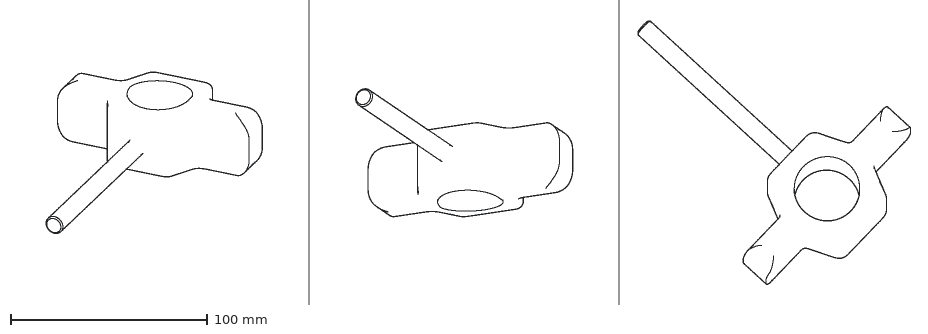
import cadquery as cq
import math

total_depth = 155.5
body_depth = 54.0
span = 108.0
height = 36.0
arm_width = 16.0
bore_diameter = 33.5
hub_corner_x = 17.3
arm_root_x = 25.8
hub_corner_radius = 6.0
arm_root_radius = 3.1
roof_angle = 5.0
wall_half_height = 12.9
arm_end_radius = 12.6
rod_diameter = 9.5
rod_tip_chamfer = 0.8
rod_root_fillet = 1.1
rod_embed = 1.5
tolerance = 0.02

half_depth = body_depth / 2
half_span = span / 2
half_height = height / 2
half_arm = arm_width / 2
roof_slope = math.tan(math.radians(roof_angle))
rod_tip_y = half_depth - total_depth


def roof_height(y):
    """Height of the sloping top face at distance y from the ridge."""
    return half_height - abs(y) * roof_slope


def rounding_radius(y):
    """Edge radius that meets the side wall at wall_half_height."""
    half_turn = math.radians((90 - roof_angle) / 2)
    return (roof_height(y) - wall_half_height) / math.tan(half_turn)


def plan_prism():
    """Hexagonal hub with two arms, with its upright corners rounded."""
    quarter = [
        (half_span, half_arm),
        (arm_root_x, half_arm),
        (hub_corner_x, half_depth),
    ]
    upper = quarter + [(-x, y) for x, y in reversed(quarter)]
    lower = [(x, -y) for x, y in reversed(upper)]
    prism = cq.Workplane("XY").polyline(upper + lower).close().extrude(half_height, both=True)
    for corner_x, corner_y, radius in (
        (hub_corner_x, half_depth, hub_corner_radius),
        (arm_root_x, half_arm, arm_root_radius),
    ):
        for side_x in (-1, 1):
            for side_y in (-1, 1):
                corner = (side_x * corner_x, side_y * corner_y, 0)
                prism = prism.edges(cq.selectors.NearestToPointSelector(corner)).fillet(radius)
    return prism


def roof_prism():
    """Double-pitched bar that gives the top and bottom faces their fall."""
    edge_height = roof_height(half_depth)
    section = [
        (half_depth, edge_height),
        (0, half_height),
        (-half_depth, edge_height),
        (-half_depth, -edge_height),
        (0, -half_height),
        (half_depth, -edge_height),
    ]
    return cq.Workplane("YZ").polyline(section).close().extrude(half_span, both=True)


def round_outline(body):
    """Round the top and bottom outlines, with a radius that grows toward the arms."""
    solid = body.val()
    maker = cq.occ_impl.shapes.BRepFilletAPI_MakeFillet(solid.wrapped)
    for edge in solid.Edges():
        middle = edge.positionAt(0.5)
        on_rim = abs(middle.z) > wall_half_height
        on_arm_end = abs(middle.x) > half_span - tolerance
        on_ridge = abs(middle.y) < tolerance
        if on_rim and not on_arm_end and not on_ridge:
            maker.Add(edge.wrapped)
            contour = maker.Contour(edge.wrapped)
            for vertex in edge.Vertices():
                maker.SetRadius(rounding_radius(vertex.Y), contour, vertex.wrapped)
    return cq.Workplane(cq.Shape.cast(maker.Shape()))


def arm_end_envelope():
    """Bar with rounded ends that shapes the tips of both arms."""
    return cq.Workplane("XY").box(span, body_depth, height).edges("|Y").fillet(arm_end_radius)


def rod():
    """Rod with a chamfered tip and a flared root on the front hub face."""
    rod_radius = rod_diameter / 2
    root_y = -half_depth
    inner_y = root_y + rod_embed
    flare_radius = rod_radius + rod_root_fillet
    arc_step = rod_root_fillet * (1 - math.sqrt(0.5))
    return (
        cq.Workplane("XY")
        .moveTo(0, rod_tip_y)
        .lineTo(rod_radius - rod_tip_chamfer, rod_tip_y)
        .lineTo(rod_radius, rod_tip_y + rod_tip_chamfer)
        .lineTo(rod_radius, root_y - rod_root_fillet)
        .threePointArc((rod_radius + arc_step, root_y - arc_step), (flare_radius, root_y))
        .lineTo(flare_radius, inner_y)
        .lineTo(0, inner_y)
        .close()
        .revolve(360, (0, 0, 0), (0, 1, 0))
    )


body = round_outline(plan_prism().intersect(roof_prism()))
body = body.intersect(arm_end_envelope())
bore = cq.Workplane("XY").workplane(offset=-half_height).circle(bore_diameter / 2).extrude(height)
result = body.cut(bore).union(rod())